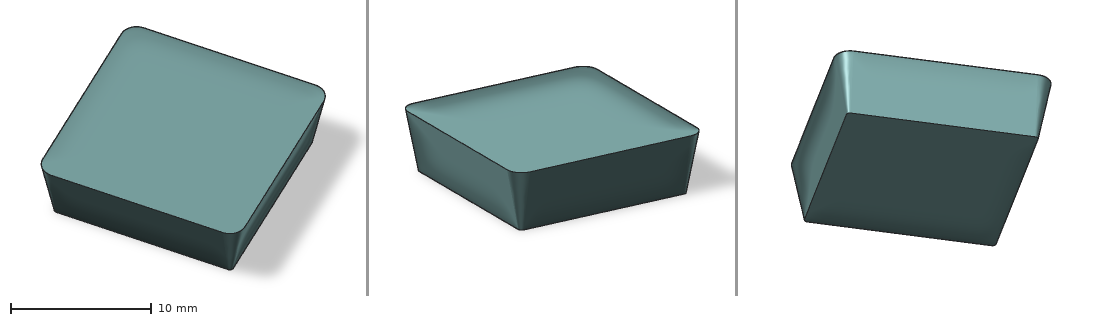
import cadquery as cq

INSCRIBED_CIRCLE = 15.875
THICKNESS = 4.76
NOSE_RADIUS = 1.2
CLEARANCE_ANGLE = 11.0


def make_insert():
    """Rounded square narrowing downward; the corners become cone segments."""
    top_outline = (
        cq.Sketch()
        .rect(INSCRIBED_CIRCLE, INSCRIBED_CIRCLE)
        .vertices()
        .fillet(NOSE_RADIUS)
    )
    return (
        cq.Workplane("XY")
        .workplane(offset=THICKNESS)
        .placeSketch(top_outline)
        .extrude(-THICKNESS, taper=CLEARANCE_ANGLE)
    )


result = make_insert()